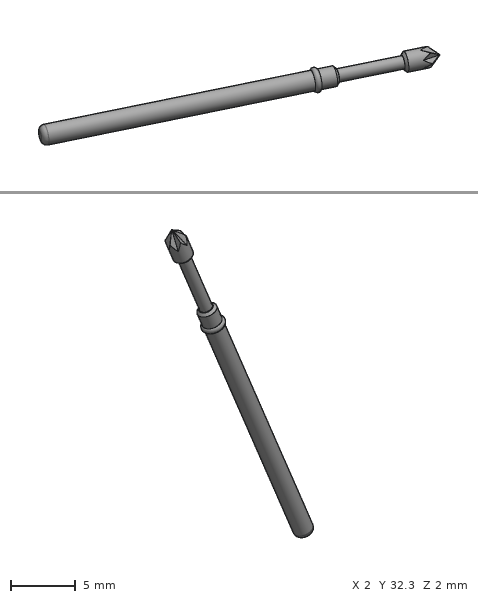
import cadquery as cq
import math

length = 32.3

barrel_diameter = 1.65
barrel_radius = barrel_diameter / 2
tail_fillet = 0.45
barrel_end = length - 8.53
mouth_chamfer = 0.23
mouth_end = barrel_end + mouth_chamfer
mouth_radius = barrel_radius - mouth_chamfer

ring_diameter = 2.0
ring_radius = ring_diameter / 2
ring_center = length - 10.05
ring_half_width = 0.25

stem_diameter = 1.05
stem_radius = stem_diameter / 2
head_diameter = 1.68
head_radius = head_diameter / 2
head_start = length - 2.78
head_chamfer = 0.23

ridge_count = 6
ridge_depth = 0.87
valley_depth = 1.55
point_depth = 1.78
point_start = length - point_depth


def make_barrel():
    """Revolved tube with rounded tail, press ring and chamfered mouth."""
    fillet_middle = tail_fillet * (1 - math.sqrt(0.5))
    profile = (
        cq.Workplane("XY")
        .lineTo(barrel_radius - tail_fillet, 0)
        .threePointArc((barrel_radius - fillet_middle, fillet_middle), (barrel_radius, tail_fillet))
        .lineTo(barrel_radius, ring_center - ring_half_width)
        .threePointArc((ring_radius, ring_center), (barrel_radius, ring_center + ring_half_width))
        .lineTo(barrel_radius, barrel_end)
        .lineTo(mouth_radius, mouth_end)
        .lineTo(0, mouth_end)
        .close()
    )
    return profile.revolve(360, (0, 0), (0, 1))


def make_plunger():
    """Revolved stem and head, ending flat where the point begins."""
    profile = (
        cq.Workplane("XY")
        .moveTo(0, mouth_end)
        .lineTo(stem_radius, mouth_end)
        .lineTo(stem_radius, head_start - head_chamfer)
        .lineTo(head_radius - head_chamfer, head_start - head_chamfer)
        .lineTo(head_radius, head_start)
        .lineTo(head_radius, point_start)
        .lineTo(0, point_start)
        .close()
    )
    return profile.revolve(360, (0, 0), (0, 1))


def make_star_pyramid():
    """Pyramid with a star base whose ridges and valleys all run to the tip."""
    ridge_radius = head_radius * point_depth / ridge_depth
    valley_radius = head_radius * point_depth / valley_depth
    tip = cq.Vector(0, length, 0)
    corners = []
    for i in range(2 * ridge_count):
        radius = ridge_radius if i % 2 == 0 else valley_radius
        angle = math.pi * i / ridge_count
        corners.append(cq.Vector(radius * math.cos(angle), point_start, radius * math.sin(angle)))

    faces = [cq.Face.makeFromWires(cq.Wire.makePolygon(corners, close=True))]
    for start, end in zip(corners, corners[1:] + corners[:1]):
        faces.append(cq.Face.makeFromWires(cq.Wire.makePolygon([start, end, tip], close=True)))
    return cq.Workplane(cq.Solid.makeSolid(cq.Shell.makeShell(faces)))


def make_point():
    """Star pyramid trimmed to the head diameter."""
    envelope = cq.Workplane(
        cq.Solid.makeCylinder(head_radius, point_depth, cq.Vector(0, point_start, 0), cq.Vector(0, 1, 0))
    )
    return envelope.intersect(make_star_pyramid())


result = make_barrel().union(make_plunger()).union(make_point()).clean()